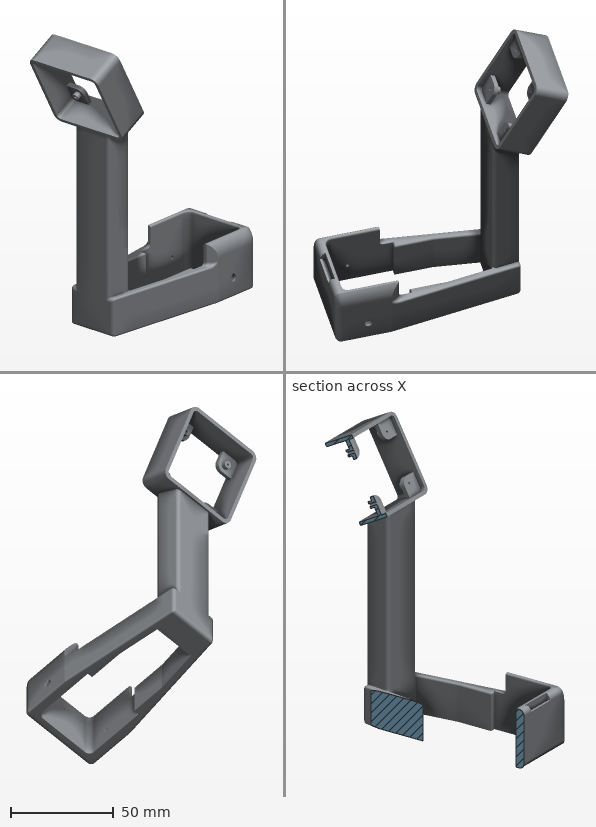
import cadquery as cq
import math

LENGTH = 95.6
CRADLE_HEIGHT = 31.4
ARM_HEIGHT = 20.1
WIDTH = 44.7
HALF_WIDTH = WIDTH / 2
FRONT_HALF = 13.5
BEND_Y = 67.5
EDGE_R = 0.99
FRONT_R = 2.0
BACK_R = 3.0

POCKET_HALF = 17.2
BACK_WALL = 4.9
STEP_Y = 56.5
NARROW_HALF = 14.3
INNER_BEND_Y = 37.0
TAPER = (HALF_WIDTH - FRONT_HALF) / BEND_Y

WALL_END_Y = 63.0
RIM_HALF = 18.9
SHOULDER_Z = 24.1
END_BLEND_R = 1.8

NOTCH_HALF_INNER = 9.0
NOTCH_HALF_OUTER = 8.2
NOTCH_DEPTH = 3.0
NOTCH_SLOPE_DROP = 3.4
NOTCH_LEDGE = 1.0

SCREW_D = 2.0
HEAD_D = 3.8
HEAD_DEPTH = 3.0
SCREW_Y = 79.2
SCREW_Z = 9.9

COLUMN_FRONT_HALF = 10.7
COLUMN_DEPTH = 14.0

FRAME_TILT = 28.6
FRAME_WIDTH = 44.1
FRAME_HEIGHT = 44.0
FRAME_DEPTH = 18.1
FRAME_WALL = 2.0
FRAME_R = 4.0
FRAME_BACK_Y = 14.8
TOP_Z = 152.5

TAB_HALF_GAP = 10.0
TAB_HEIGHT = 10.0
TAB_THICKNESS = 2.5
TAB_SETBACK = 2.9
TAB_HOLE_SPACING = 28.2
TAB_HOLE_X = TAB_HOLE_SPACING / 2
TAB_HOLE_RISE = 6.3
BOSS_D = 3.8
BOSS_LENGTH = 2.5
PILOT_D = 1.3

MARGIN = 0.2
OVERLAP = 1.5


def mirrored_outline(half):
    """Outline in XY made from the points of its +X half."""
    return half + [(-x, y) for x, y in reversed(half)]


def prism(half, z0, z1):
    """Symmetric upright solid between two heights."""
    outline = mirrored_outline(half)
    return cq.Workplane("XY").workplane(offset=z0).polyline(outline).close().extrude(z1 - z0)


def base_body():
    body = prism([(FRONT_HALF, 0), (HALF_WIDTH, BEND_Y), (HALF_WIDTH, LENGTH)], 0, CRADLE_HEIGHT)
    body = body.edges("|Z and <Y").fillet(FRONT_R)

    low = prism(
        [(WIDTH, -OVERLAP), (WIDTH, BEND_Y), (HALF_WIDTH, BEND_Y), (RIM_HALF, WALL_END_Y)],
        ARM_HEIGHT, CRADLE_HEIGHT + OVERLAP)
    body = body.cut(low)

    side = (cq.Workplane("YZ").rect(LENGTH, ARM_HEIGHT, centered=False)
            .extrude(HALF_WIDTH, both=True)
            .edges("|X and <Y").fillet(FRONT_R))
    cradle = prism([(HALF_WIDTH, STEP_Y), (HALF_WIDTH, LENGTH)], 0, CRADLE_HEIGHT)
    body = body.intersect(side.union(cradle))

    run = HALF_WIDTH - RIM_HALF
    rise = CRADLE_HEIGHT - SHOULDER_Z
    radius = (run**2 + rise**2) / (2 * run)
    for sign in (-1, 1):
        shoulder = (cq.Workplane("XZ").moveTo(sign * HALF_WIDTH, SHOULDER_Z)
                    .radiusArc((sign * RIM_HALF, CRADLE_HEIGHT), -sign * radius)
                    .lineTo(sign * HALF_WIDTH, CRADLE_HEIGHT).close().extrude(-LENGTH))
        body = body.cut(shoulder)
    return body.faces(">Y").edges().fillet(BACK_R)


def pocket():
    back = LENGTH - BACK_WALL
    wide = prism([(POCKET_HALF, STEP_Y), (POCKET_HALF, back)], 0, CRADLE_HEIGHT)
    wide = wide.edges("|Z and >Y").fillet(BACK_R)
    front_half = NARROW_HALF - TAPER * (INNER_BEND_Y - COLUMN_DEPTH)
    narrow = prism(
        [(front_half, COLUMN_DEPTH), (NARROW_HALF, INNER_BEND_Y), (NARROW_HALF, STEP_Y + OVERLAP)],
        0, CRADLE_HEIGHT)
    return wide.union(narrow)


def notch():
    """Pocket in the outer top edge of the back wall, its floor sloping down from a low ledge at the back."""
    inner = LENGTH - BACK_R
    ledge = LENGTH - NOTCH_LEDGE
    ledge_z = CRADLE_HEIGHT - NOTCH_DEPTH
    floor_z = ledge_z - NOTCH_SLOPE_DROP
    profile = (cq.Workplane("YZ")
               .polyline([(inner, CRADLE_HEIGHT), (inner, floor_z), (ledge, ledge_z),
                          (LENGTH, ledge_z), (LENGTH, CRADLE_HEIGHT)])
               .close().extrude(NOTCH_HALF_INNER, both=True))
    plan = prism([(NOTCH_HALF_OUTER, LENGTH), (NOTCH_HALF_OUTER, ledge), (NOTCH_HALF_INNER, inner)],
                 floor_z, CRADLE_HEIGHT)
    return profile.intersect(plan)


def teardrop(diameter, x0, x1):
    """Hole along X with a 45 degree peaked roof, from x0 to x1."""
    r = diameter / 2
    side = r * math.sqrt(0.5)
    return (cq.Workplane("YZ").workplane(offset=x0).center(SCREW_Y, SCREW_Z)
            .moveTo(side, side)
            .threePointArc((0, -r), (-side, side))
            .lineTo(0, 2 * side).close().extrude(x1 - x0))


def screw_holes():
    through = teardrop(SCREW_D, -HALF_WIDTH, HALF_WIDTH)
    left = teardrop(HEAD_D, -HALF_WIDTH, HEAD_DEPTH - HALF_WIDTH)
    right = teardrop(HEAD_D, HALF_WIDTH - HEAD_DEPTH, HALF_WIDTH)
    return through.union(left).union(right)


def edges_at(body, z, y0, y1, half):
    """Edges centred at height z, between y0 and y1 and within half of the symmetry plane."""
    box = cq.selectors.BoxSelector((-half, y0, z - MARGIN), (half, y1, z + MARGIN))
    return body.edges(box)


def rounded_base():
    base = base_body().cut(pocket())
    base = edges_at(base, ARM_HEIGHT, WALL_END_Y - MARGIN, BEND_Y, HALF_WIDTH).fillet(END_BLEND_R)
    rim = edges_at(base, CRADLE_HEIGHT, WALL_END_Y + MARGIN, LENGTH - BACK_R - MARGIN, POCKET_HALF + MARGIN)
    arms = edges_at(base, ARM_HEIGHT, COLUMN_DEPTH + MARGIN, STEP_Y + MARGIN, HALF_WIDTH)
    base = rim.add(arms).fillet(EDGE_R)
    bottom = edges_at(base, 0, COLUMN_DEPTH, LENGTH - BACK_R - MARGIN, HALF_WIDTH + MARGIN)
    outer = bottom.filter(lambda edge: abs(edge.Center().x) > POCKET_HALF + MARGIN)
    base = outer.fillet(EDGE_R)
    return base.cut(notch()).cut(screw_holes())


TILT = math.radians(FRAME_TILT)
FRAME_PLANE = cq.Plane(
    origin=(0, FRAME_BACK_Y, TOP_Z - FRAME_HEIGHT * math.cos(TILT)),
    xDir=(1, 0, 0),
    normal=(0, -math.cos(TILT), -math.sin(TILT)))


def column():
    back_half = COLUMN_FRONT_HALF + TAPER * COLUMN_DEPTH
    post = prism([(COLUMN_FRONT_HALF, 0), (back_half, COLUMN_DEPTH)], ARM_HEIGHT - FRONT_R, TOP_Z)
    post = post.edges("|Z").fillet(FRONT_R)
    above = (cq.Workplane(FRAME_PLANE).center(0, FRAME_WALL / 2 + TOP_Z / 2)
             .rect(TOP_Z, TOP_Z).extrude(TOP_Z, both=True))
    return post.cut(above)


def frame_tab(side, end):
    """Tab in one frame corner; side is the X sign, end is -1 for the lower wall and 1 for the upper."""
    middle = FRAME_HEIGHT / 2
    inside = middle - FRAME_WALL
    wall_x = side * (FRAME_WIDTH - FRAME_WALL) / 2
    wall_y = middle + end * (FRAME_HEIGHT - FRAME_WALL) / 2
    free_x = side * TAB_HALF_GAP
    free_y = middle + end * (inside - TAB_HEIGHT)
    corner_r = TAB_HOLE_X - TAB_HALF_GAP
    hole = (side * TAB_HOLE_X, middle + end * (inside - TAB_HOLE_RISE))
    plane = cq.Workplane(FRAME_PLANE).workplane(offset=TAB_SETBACK)
    tab = (plane.moveTo(wall_x, wall_y).lineTo(free_x, wall_y)
           .lineTo(free_x, free_y + end * corner_r)
           .radiusArc((side * TAB_HOLE_X, free_y), -side * end * corner_r)
           .lineTo(wall_x, free_y).close().extrude(TAB_THICKNESS))
    length = TAB_THICKNESS + BOSS_LENGTH
    boss = plane.center(*hole).circle(BOSS_D / 2).extrude(length)
    pilot = plane.center(*hole).circle(PILOT_D / 2).extrude(length)
    return tab.union(boss).cut(pilot)


def frame():
    inner_width = FRAME_WIDTH - 2 * FRAME_WALL
    inner_height = FRAME_HEIGHT - 2 * FRAME_WALL
    plane = cq.Workplane(FRAME_PLANE).center(0, FRAME_HEIGHT / 2)
    along = cq.selectors.ParallelDirSelector(FRAME_PLANE.zDir)
    outside = plane.rect(FRAME_WIDTH, FRAME_HEIGHT).extrude(FRAME_DEPTH).edges(along).fillet(FRAME_R)
    opening = plane.rect(inner_width, inner_height).extrude(FRAME_DEPTH)
    opening = opening.edges(along).fillet(FRAME_R - FRAME_WALL)
    tabs = cq.Workplane(FRAME_PLANE)
    for side in (-1, 1):
        for end in (-1, 1):
            tabs = tabs.add(frame_tab(side, end))
    return outside.cut(opening).union(tabs.combine().intersect(outside))


result = rounded_base().union(column()).union(frame())